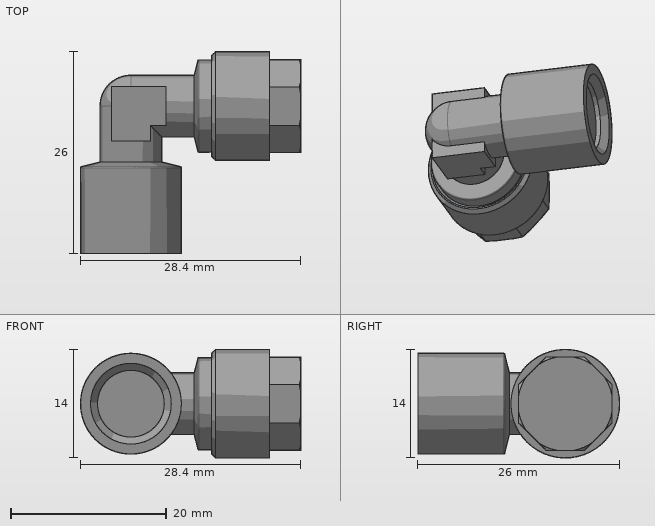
import cadquery as cq
import math

arm_radius = 4.0
cone_angle = math.radians(14)
shoulder_round = 0.15

pad_half_width = 2.5
pad_reach = 4.5
pad_half_height = 4.5

socket_radius = 6.5
socket_start = 7.2
socket_end = 19.0
bore_radius = 4.3
bore_chamfer = 0.9
bore_depth = 1.5

collar_radius = 5.95
collar_start = 8.15

nut_radius = 7.0
nut_start = 10.4
nut_end = 17.85
nut_chamfer = 0.5
countersink_radius = 6.3

octagon_across_flats = 12.0
octagon_sides = 8
octagon_end = 21.9
octagon_end_radius = 6.1
octagon_chamfer_angle = math.radians(30)


def arm_along_x(length):
    return cq.Workplane("YZ").circle(arm_radius).extrude(length)


def turned_along_x(outline):
    """Revolve a list of (x, radius) points about the X axis."""
    return cq.Workplane("XY").polyline(outline).close().revolve(360, (0, 0), (1, 0))


def to_minus_y(shape):
    return shape.rotate((0, 0, 0), (0, 0, 1), -90)


def shouldered_cylinder(radius, start, end):
    """Cylinder along +X that widens from the arm through a rounded conical shoulder."""
    shoulder_end = start + (radius - arm_radius) * math.tan(cone_angle)
    outline = [(start, 0), (start, arm_radius), (shoulder_end, radius), (end, radius), (end, 0)]
    shoulder_edge = cq.selectors.BoxSelector(
        (shoulder_end - shoulder_round / 2, -2 * radius, -2 * radius),
        (shoulder_end + shoulder_round / 2, 2 * radius, 2 * radius),
        boundingbox=True,
    )
    return turned_along_x(outline).edges(shoulder_edge).fillet(shoulder_round)


def make_elbow():
    arms = arm_along_x(collar_start).union(to_minus_y(arm_along_x(socket_start)))
    return arms.union(cq.Workplane("XY").sphere(arm_radius))


def make_pads():
    pad_outline = [
        (-pad_half_width, pad_half_width),
        (pad_reach, pad_half_width),
        (pad_reach, -pad_half_width),
        (pad_half_width, -pad_half_width),
        (pad_half_width, -pad_reach),
        (-pad_half_width, -pad_reach),
    ]
    return cq.Workplane("XY").polyline(pad_outline).close().extrude(pad_half_height, both=True)


def make_socket():
    bore_outline = [
        (socket_end, 0),
        (socket_end, bore_radius + bore_chamfer),
        (socket_end - bore_chamfer, bore_radius),
        (socket_end - bore_depth, bore_radius),
        (socket_end - bore_depth, 0),
    ]
    socket = shouldered_cylinder(socket_radius, socket_start, socket_end)
    return to_minus_y(socket.cut(turned_along_x(bore_outline)))


def make_nut():
    """Round nut with an outer chamfer and a 45 degree countersink down to the collar."""
    countersink_depth = countersink_radius - collar_radius
    return turned_along_x([
        (nut_start + countersink_depth, 0),
        (nut_start + countersink_depth, collar_radius),
        (nut_start, countersink_radius),
        (nut_start, nut_radius - nut_chamfer),
        (nut_start + nut_chamfer, nut_radius),
        (nut_end, nut_radius),
        (nut_end, 0),
    ])


def make_octagon():
    """Octagonal bar with its corners turned off by a cone at the free end."""
    half_corner = math.pi / octagon_sides
    corner_radius = octagon_across_flats / 2 / math.cos(half_corner)
    cone_length = (nut_radius - octagon_end_radius) * math.tan(octagon_chamfer_angle)
    bar = (
        cq.Workplane("YZ", origin=(nut_end, 0, 0))
        .polygon(octagon_sides, 2 * corner_radius)
        .extrude(octagon_end - nut_end)
        .rotate((0, 0, 0), (1, 0, 0), math.degrees(half_corner))
    )
    envelope = turned_along_x([
        (nut_end, 0),
        (nut_end, nut_radius),
        (octagon_end - cone_length, nut_radius),
        (octagon_end, octagon_end_radius),
        (octagon_end, 0),
    ])
    return bar.intersect(envelope)


collar = shouldered_cylinder(collar_radius, collar_start, nut_end)

result = (
    make_elbow()
    .union(make_pads())
    .union(make_socket())
    .union(collar)
    .union(make_nut())
    .union(make_octagon())
)